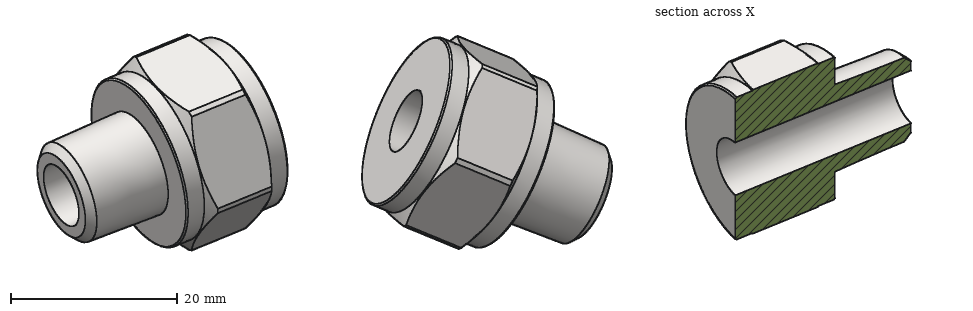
import cadquery as cq
import math


hex_sides = 6
across_flats = 22.0
corner_diameter = 25.0
hex_length = 9.5
chamfer_angle = 30.0

collar_diameter = 21.8
collar_length = 2.5
collar_edge = 0.2

spigot_length = 11.0
spigot_base_diameter = 13.4
spigot_tip_diameter = 12.9
spigot_chamfer = 1.0

bore_diameter = 8.0

hex_start = collar_length
hex_end = hex_start + hex_length
body_length = hex_end + collar_length


def revolve_about_y(profile):
    """Revolve a list of (radius, y) points around the Y axis."""
    return cq.Workplane("XY").polyline(profile).close().revolve(360, (0, 0, 0), (0, 1, 0))


def along_y(start):
    """Workplane at Y = start, with its normal along +Y."""
    return cq.Workplane(cq.Plane(origin=(0, start, 0), xDir=(1, 0, 0), normal=(0, 1, 0)))


def make_hexagon():
    """Hexagon with corners on the X axis, turned to a corner diameter and chamfered down to the collar."""
    sharp_corner_diameter = across_flats / math.cos(math.pi / hex_sides)
    prism = along_y(hex_start).polygon(hex_sides, sharp_corner_diameter).extrude(hex_length)

    corner_radius = corner_diameter / 2
    end_radius = collar_diameter / 2
    chamfer_length = (corner_radius - end_radius) * math.tan(math.radians(chamfer_angle))
    envelope = revolve_about_y([
        (0, hex_start),
        (end_radius, hex_start),
        (corner_radius, hex_start + chamfer_length),
        (corner_radius, hex_end - chamfer_length),
        (end_radius, hex_end),
        (0, hex_end),
    ])
    return prism.intersect(envelope)


def make_collar():
    """Round body running through the hexagon, with both outer edges broken."""
    collar = along_y(0).circle(collar_diameter / 2).extrude(body_length)
    return collar.faces("<Y or >Y").edges().chamfer(collar_edge)


def make_spigot():
    """Spigot tapering toward its tip, with a 45 degree lead-in chamfer."""
    tip_radius = spigot_tip_diameter / 2
    return revolve_about_y([
        (0, 0),
        (spigot_base_diameter / 2, 0),
        (tip_radius, spigot_chamfer - spigot_length),
        (tip_radius - spigot_chamfer, -spigot_length),
        (0, -spigot_length),
    ])


def make_bore():
    """Through bore along the whole part."""
    return along_y(-spigot_length).circle(bore_diameter / 2).extrude(spigot_length + body_length)


result = make_collar().union(make_hexagon()).union(make_spigot()).cut(make_bore())